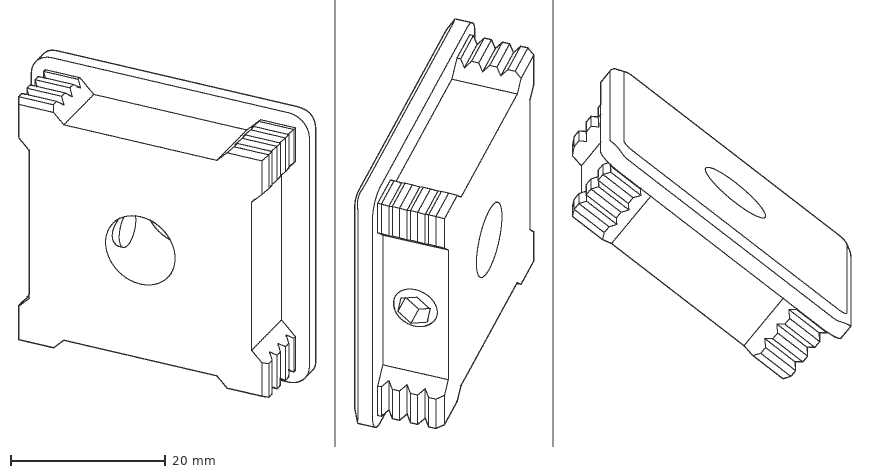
import cadquery as cq
import math


plate_side = 40.0
plate_corner_radius = 3.0
plate_thickness = 3.0
bevel_inset = plate_corner_radius / 2
bevel_height = 1.0
bevel_corner_radius = plate_corner_radius - bevel_inset

total_depth = 12.0
plug_depth = total_depth - plate_thickness
plug_half = plate_side / 2 - 2.0
core_half = plate_side / 2 - 4.0
recess_half_length = core_half - 5.0
bore_diameter = 10.0

tip_depth = 0.5
tip_length = 1.0
crest_width = 1.0
last_crest_start = 6.0
valley_count = 3
valley_depth = 0.7
tooth_pitch = (last_crest_start - tip_length) / (valley_count - 1)
front_flank = 0.7
back_flank = tooth_pitch - crest_width - front_flank

screw_y = plug_depth / 2
head_radius = 3.0
head_height = 0.6
head_flat_radius = head_radius - head_height
head_top_x = -core_half - head_height
shank_diameter = 5.0
shank_end_x = -4.0
socket_corner_radius = 2.35
socket_corner_count = 6
socket_depth = 3.0
socket_turn = 20.0


def y_plane(y):
    """Plane facing +Y, with its local axes along +Z and +X."""
    return cq.Workplane(cq.Plane(origin=(0, y, 0), xDir=(0, 0, 1), normal=(0, 1, 0)))


def rounded_square(side, radius):
    """Square outline with four equal corner rounds."""
    return cq.Sketch().rect(side, side).vertices().fillet(radius)


def make_plate():
    """Rounded square plate with a bevelled rim whose corners keep one radius."""
    bevel_start = total_depth - bevel_height
    straight = y_plane(plug_depth).placeSketch(
        rounded_square(plate_side, plate_corner_radius)
    ).extrude(plate_thickness)
    bevel = y_plane(bevel_start).placeSketch(
        rounded_square(plate_side, bevel_corner_radius),
        rounded_square(plate_side - 2 * bevel_inset, bevel_corner_radius).moved(
            cq.Location(cq.Vector(0, 0, bevel_height))
        ),
    ).loft()
    rim = y_plane(plug_depth).rect(plate_side, plate_side).extrude(plate_thickness - bevel_height)
    return straight.intersect(rim.union(bevel))


def frustum(y_start, y_end, half_start, half_end):
    """Square slab whose half width changes evenly from one end to the other."""
    return (
        y_plane(y_start)
        .rect(2 * half_start, 2 * half_start)
        .workplane(offset=y_end - y_start)
        .rect(2 * half_end, 2 * half_end)
        .loft(ruled=True)
    )


def square_bar(y_start, y_end):
    """Length of plain square bar as wide as the tooth crests."""
    return y_plane(y_start).rect(2 * plug_half, 2 * plug_half).extrude(y_end - y_start)


def make_toothed_block():
    """Square block with a tapered tip and parallel V grooves running around it."""
    block = frustum(0, tip_length, plug_half - tip_depth, plug_half)
    block = block.union(square_bar(tip_length, plug_depth))
    valley_half = plug_half - valley_depth
    for index in range(valley_count):
        start = tip_length + crest_width + index * tooth_pitch
        valley = start + front_flank
        end = valley + back_flank
        waist = frustum(start, valley, plug_half, valley_half).union(
            frustum(valley, end, valley_half, plug_half)
        )
        block = block.cut(square_bar(start, end).cut(waist))
    return block


def make_recess():
    """Flared recess in the +Z side of the plug, open toward the insertion face."""
    reach = plug_half - core_half
    return (
        cq.Workplane("XZ")
        .moveTo(-recess_half_length, core_half)
        .lineTo(recess_half_length, core_half)
        .lineTo(recess_half_length + reach, plug_half)
        .lineTo(-recess_half_length - reach, plug_half)
        .close()
        .extrude(-plug_depth)
    )


def x_plane(x):
    """Plane facing +X, centred on the screw axis."""
    return cq.Workplane(cq.Plane(origin=(x, screw_y, 0), xDir=(0, 1, 0), normal=(1, 0, 0)))


def make_shank():
    """Plain cylinder from the recess floor into the bore."""
    return x_plane(-core_half).circle(shank_diameter / 2).extrude(core_half + shank_end_x)


def make_head():
    """Low head whose rim is a quarter round running from the recess floor to its flat top."""
    quarter = math.sqrt(0.5) * head_height
    return (
        cq.Workplane(cq.Plane(origin=(-core_half, screw_y, 0), xDir=(0, 1, 0), normal=(0, 0, 1)))
        .moveTo(0, 0)
        .lineTo(head_radius, 0)
        .threePointArc((head_flat_radius + quarter, quarter), (head_flat_radius, head_height))
        .lineTo(0, head_height)
        .close()
        .revolve(360, (0, 0, 0), (0, 1, 0))
    )


def make_socket():
    """Hexagonal recess sunk into the screw head."""
    corners = []
    for index in range(socket_corner_count):
        angle = math.radians(index * 360 / socket_corner_count - socket_turn)
        corners.append((socket_corner_radius * math.cos(angle), socket_corner_radius * math.sin(angle)))
    return x_plane(head_top_x).polyline(corners).close().extrude(socket_depth)


def make_screw():
    """Head and shank joined, with the hexagonal socket."""
    return make_head().union(make_shank()).cut(make_socket())


def make_plug():
    """Toothed block with four side recesses, its cover plate, the bore and the screw hole."""
    plug = make_toothed_block()
    recess = make_recess()
    for angle in (0, 90, 180, 270):
        plug = plug.cut(recess.rotate((0, 0, 0), (0, 1, 0), angle))
    plug = plug.union(make_plate())
    plug = plug.cut(y_plane(0).circle(bore_diameter / 2).extrude(total_depth))
    return plug.cut(make_shank())


plug = make_plug()
screw = make_screw()
result = cq.Compound.makeCompound([plug.val(), screw.val()])